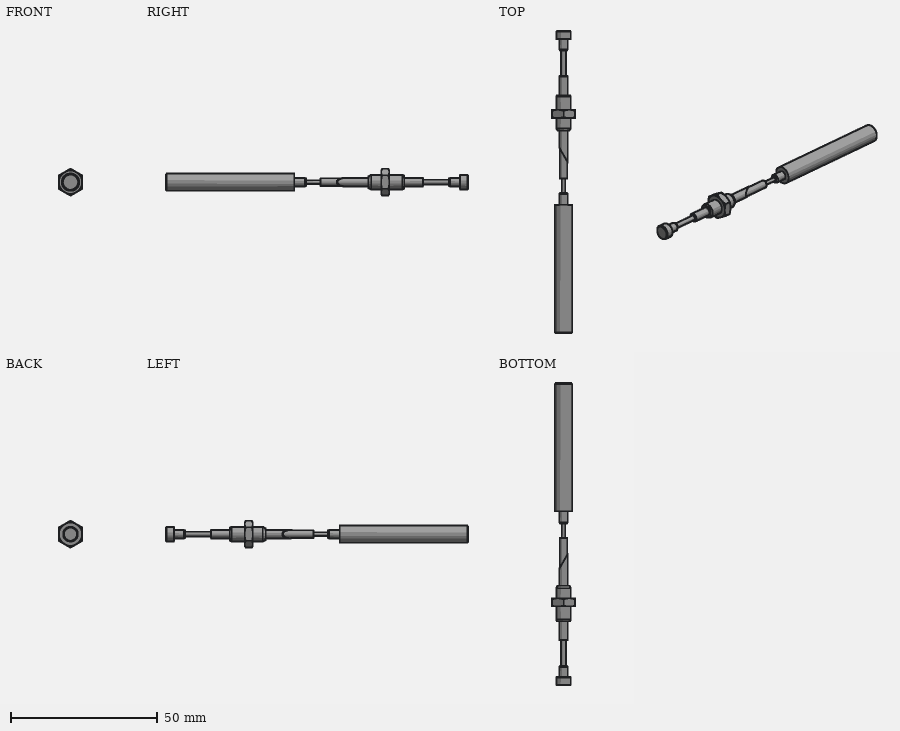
import cadquery as cq
import math

TOTAL_LENGTH = 103.3
TAIL_Y = -TOTAL_LENGTH / 2

BUTTON_DIAMETER = 5.1
HANDLE_DIAMETER = 6.0
FERRULE_DIAMETER = 3.0
SLEEVE_DIAMETER = 3.0
BARREL_DIAMETER = 2.7
FRONT_ROD_DIAMETER = 1.8
REAR_ROD_DIAMETER = 1.3
FITTING_DIAMETER = 5.1
HEX_ACROSS_FLATS = 8.0
HEX_ACROSS_CORNERS = HEX_ACROSS_FLATS / math.cos(math.pi / 6)

BUTTON_LENGTH = 2.9
FRONT_FERRULE_LENGTH = 3.8
FRONT_ROD_LENGTH = 8.7
TUBE_LENGTH = 35.1
REAR_ROD_LENGTH = 4.8
REAR_FERRULE_LENGTH = 4.1

FITTING_LENGTH = 12.2
FITTING_SETBACK = 6.5
HEX_LENGTH = 2.8
HEX_SETBACK = 5.1

MITRE_SETBACK = 27.0
MITRE_ANGLE = 60.0

BUTTON_FRONT_CHAMFER = 0.3
BUTTON_REAR_CHAMFER = 0.2
FERRULE_CHAMFER_LENGTH = 0.5
FERRULE_CHAMFER_DEPTH = 0.3
SLEEVE_CHAMFER = 0.2
BARREL_CHAMFER = 0.2
FITTING_FRONT_CHAMFER_LENGTH = 0.6
FITTING_FRONT_CHAMFER_DEPTH = 0.3
FITTING_REAR_CHAMFER_LENGTH = 0.9
FITTING_REAR_CHAMFER_DEPTH = 0.5
HEX_CHAMFER_ANGLE = 30.0
HANDLE_CHAMFER = 0.4

BUTTON_Y = TOTAL_LENGTH / 2
FRONT_FERRULE_Y = BUTTON_Y - BUTTON_LENGTH
FRONT_ROD_Y = FRONT_FERRULE_Y - FRONT_FERRULE_LENGTH
SLEEVE_Y = FRONT_ROD_Y - FRONT_ROD_LENGTH
REAR_ROD_Y = SLEEVE_Y - TUBE_LENGTH
REAR_FERRULE_Y = REAR_ROD_Y - REAR_ROD_LENGTH
HANDLE_Y = REAR_FERRULE_Y - REAR_FERRULE_LENGTH
HANDLE_LENGTH = HANDLE_Y - TAIL_Y
FITTING_Y = SLEEVE_Y - FITTING_SETBACK
HEX_Y = FITTING_Y - HEX_SETBACK
MITRE_Y = SLEEVE_Y - MITRE_SETBACK


def section_plane(y):
    """Plane across the axis at y; extrusions from it run toward -Y."""
    return cq.Plane(origin=(0, y, 0), xDir=(1, 0, 0), normal=(0, -1, 0))


def rod(y, diameter, length):
    """Plain cylinder on the axis, from y toward -Y."""
    return cq.Workplane(section_plane(y)).circle(diameter / 2).extrude(length)


def make_button():
    """Round push button with its ferrule behind it."""
    head = (
        rod(BUTTON_Y, BUTTON_DIAMETER, BUTTON_LENGTH)
        .faces(">Y")
        .chamfer(BUTTON_FRONT_CHAMFER)
        .faces("<Y")
        .chamfer(BUTTON_REAR_CHAMFER)
    )
    ferrule = rod(FRONT_FERRULE_Y, FERRULE_DIAMETER, FRONT_FERRULE_LENGTH)
    return head.union(ferrule.faces("<Y").chamfer(FERRULE_CHAMFER_LENGTH, FERRULE_CHAMFER_DEPTH))


def make_handle():
    """Long cylindrical grip with its ferrule in front."""
    grip = rod(HANDLE_Y, HANDLE_DIAMETER, HANDLE_LENGTH).faces("<Y").chamfer(HANDLE_CHAMFER)
    ferrule = rod(REAR_FERRULE_Y, FERRULE_DIAMETER, REAR_FERRULE_LENGTH)
    return grip.union(ferrule.faces(">Y").chamfer(FERRULE_CHAMFER_LENGTH, FERRULE_CHAMFER_DEPTH))


def behind_mitre():
    """Block filling the space behind the oblique joint plane."""
    rise = SLEEVE_DIAMETER * math.tan(math.radians(MITRE_ANGLE))
    return (
        cq.Workplane("XY")
        .moveTo(-SLEEVE_DIAMETER, MITRE_Y + rise)
        .lineTo(SLEEVE_DIAMETER, MITRE_Y - rise)
        .lineTo(SLEEVE_DIAMETER, TAIL_Y)
        .lineTo(-SLEEVE_DIAMETER, TAIL_Y)
        .close()
        .extrude(SLEEVE_DIAMETER, both=True)
    )


def make_sleeve():
    """Outer sleeve, cut off obliquely at its rear end."""
    sleeve = rod(SLEEVE_Y, SLEEVE_DIAMETER, TUBE_LENGTH).faces(">Y").chamfer(SLEEVE_CHAMFER)
    return sleeve.cut(behind_mitre())


def make_barrel():
    """Slightly thinner barrel that continues the sleeve behind the oblique joint."""
    barrel = rod(SLEEVE_Y, BARREL_DIAMETER, TUBE_LENGTH).faces("<Y").chamfer(BARREL_CHAMFER)
    return barrel.intersect(behind_mitre())


def make_hex():
    """Hexagon with its points up and down and its corners turned to a cone at each end."""
    prism = (
        cq.Workplane(section_plane(HEX_Y))
        .polygon(6, HEX_ACROSS_CORNERS)
        .extrude(HEX_LENGTH)
        .rotate((0, 0, 0), (0, 1, 0), 90)
    )
    corner_depth = (HEX_ACROSS_CORNERS - HEX_ACROSS_FLATS) / 2
    corner_length = corner_depth * math.tan(math.radians(HEX_CHAMFER_ANGLE))
    blank = rod(HEX_Y, HEX_ACROSS_CORNERS, HEX_LENGTH)
    turned = blank.faces(">Y or <Y").chamfer(corner_length, corner_depth)
    return prism.intersect(turned)


def make_fitting():
    """Collar with a hexagon around its middle, bored to fit over the sleeve."""
    collar = (
        rod(FITTING_Y, FITTING_DIAMETER, FITTING_LENGTH)
        .faces(">Y")
        .chamfer(FITTING_FRONT_CHAMFER_LENGTH, FITTING_FRONT_CHAMFER_DEPTH)
        .faces("<Y")
        .chamfer(FITTING_REAR_CHAMFER_LENGTH, FITTING_REAR_CHAMFER_DEPTH)
    )
    bore = rod(FITTING_Y, SLEEVE_DIAMETER, FITTING_LENGTH)
    return collar.union(make_hex()).cut(bore)


button = make_button()
front_rod = rod(FRONT_ROD_Y, FRONT_ROD_DIAMETER, FRONT_ROD_LENGTH)
sleeve = make_sleeve()
barrel = make_barrel()
fitting = make_fitting()
rear_rod = rod(REAR_ROD_Y, REAR_ROD_DIAMETER, REAR_ROD_LENGTH)
handle = make_handle()

result = cq.Compound.makeCompound(
    [
        button.val(),
        front_rod.val(),
        sleeve.val(),
        fitting.val(),
        barrel.val(),
        rear_rod.val(),
        handle.val(),
    ]
)